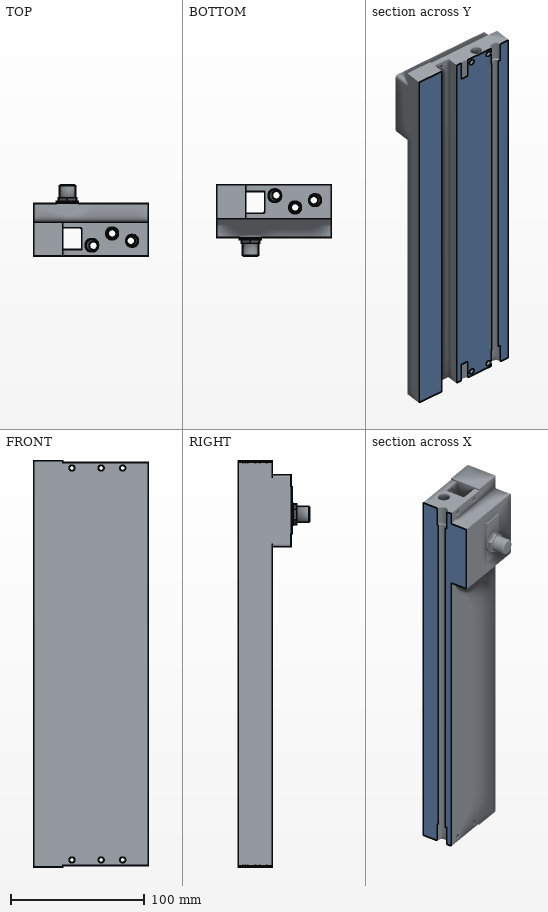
import cadquery as cq

width = 86.0
length = 305.0
overall_depth = 53.7

body_depth = 25.5
rail_width = 22.0
end_step = 1.2
rail_edge_radius = 0.45
manifold_bottom = end_step
manifold_top = length - end_step

duct_width = 14.0
duct_front = 5.2
duct_back = 21.5
duct_corner_radius = 1.2

port_depth = 15.2
port_chamfer = 0.5
bore_diameter = 6.0
ports = [
    (43.5, 8.2, 8.8, 44.8, 8.0),
    (59.0, 17.0, 8.2, 59.0, 17.0),
    (73.8, 11.5, 8.2, 73.0, 11.5),
]

cross_hole_diameter = 4.0
cross_hole_inset = 5.5
cross_hole_x = [28.7, 50.5, 66.8]

cover_back = 39.5
cover_top = 294.5
cover_height = 54.3
cover_corner_radius = 2.0

connector_x = 25.3
connector_z = 264.7
plate_width = 16.5
plate_height = 35.5
plate_center_z = 267.8
plate_thickness = 0.75
washer_diameter = 16.5
washer_thickness = 1.0
nut_across_corners = 16.0
nut_thickness = 2.5
plug_diameter = 12.2
plug_chamfer = 1.0


def box(x_range, y_range, z_range):
    """Axis-aligned block between the given limits."""
    sizes = [high - low for low, high in (x_range, y_range, z_range)]
    corner = (x_range[0], y_range[0], z_range[0])
    return cq.Workplane("XY").box(*sizes, centered=False).translate(corner)


def rod_along_z(x, y, diameter, bottom, top):
    return cq.Workplane("XY", origin=(x, y, bottom)).circle(diameter / 2).extrude(top - bottom)


def facing_back(x, y, z):
    """Workplane at the given point whose normal is +Y; its local x axis points along +X."""
    return cq.Workplane(cq.Plane(origin=(x, y, z), xDir=(1, 0, 0), normal=(0, 1, 0)))


def make_body():
    rail = box((0, rail_width), (0, body_depth), (0, length))
    rail = rail.edges("|Z and <X").fillet(rail_edge_radius)
    manifold = box((rail_width, width), (0, body_depth), (manifold_bottom, manifold_top))
    return rail.union(manifold)


def make_duct():
    duct = box((rail_width, rail_width + duct_width), (duct_front, duct_back), (0, length))
    return duct.edges("|Z and >X and >Y").fillet(duct_corner_radius)


def port_cutter(diameter):
    """Port opening at Z = 0 and running upward, with a chamfered mouth."""
    radius = diameter / 2
    profile = [
        (0, 0),
        (radius + port_chamfer, 0),
        (radius, port_chamfer),
        (radius, port_depth),
        (0, port_depth),
    ]
    return cq.Workplane("XZ").polyline(profile).close().revolve(360, (0, 0, 0), (0, 1, 0))


def make_ports():
    cutter = cq.Workplane("XY")
    for port_x, port_y, port_diameter, bore_x, bore_y in ports:
        cutter = cutter.union(rod_along_z(bore_x, bore_y, bore_diameter, 0, length))
        port = port_cutter(port_diameter)
        bottom_port = port.translate((port_x, port_y, manifold_bottom))
        top_port = port.mirror("XY").translate((port_x, port_y, manifold_top))
        cutter = cutter.union(bottom_port).union(top_port)
    return cutter


def make_cross_holes():
    heights = (cross_hole_inset, length - cross_hole_inset)
    points = [(x, -z) for x in cross_hole_x for z in heights]
    return facing_back(0, 0, 0).pushPoints(points).circle(cross_hole_diameter / 2).extrude(body_depth)


def make_cover():
    cover = box((0, width), (body_depth, cover_back), (cover_top - cover_height, cover_top))
    return cover.edges("|Y").fillet(cover_corner_radius)


def make_connector():
    washer_start = cover_back + plate_thickness
    nut_start = washer_start + washer_thickness
    plug_start = nut_start + nut_thickness
    plate = facing_back(connector_x, cover_back, plate_center_z)
    plate = plate.rect(plate_width, plate_height).extrude(plate_thickness)
    washer = facing_back(connector_x, washer_start, connector_z)
    washer = washer.circle(washer_diameter / 2).extrude(washer_thickness)
    nut = facing_back(connector_x, nut_start, connector_z).transformed(rotate=(0, 0, 90))
    nut = nut.polygon(6, nut_across_corners).extrude(nut_thickness)
    plug = facing_back(connector_x, plug_start, connector_z)
    plug = plug.circle(plug_diameter / 2).extrude(overall_depth - plug_start)
    plug = plug.faces(">Y").chamfer(plug_chamfer)
    return plate.union(washer).union(nut).union(plug)


body = make_body().cut(make_duct()).cut(make_ports()).cut(make_cross_holes())
result = body.union(make_cover()).union(make_connector())